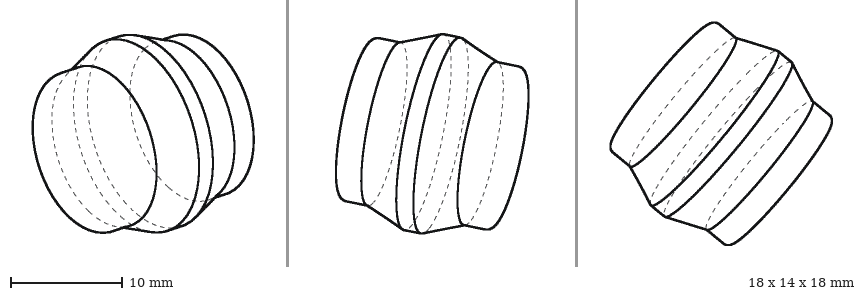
import cadquery as cq

band_diameter = 18.0
end_diameter = 15.0
length = 14.0

band_width = 1.6
end_length = 2.5
edge_radius = 0.5

band_radius = band_diameter / 2
end_radius = end_diameter / 2
half_length = length / 2
half_band = band_width / 2
shoulder = half_length - end_length

profile = (
    cq.Workplane("XY")
    .moveTo(0, -half_length)
    .lineTo(end_radius, -half_length)
    .lineTo(end_radius, -shoulder)
    .lineTo(band_radius, -half_band)
    .lineTo(band_radius, half_band)
    .lineTo(end_radius, shoulder)
    .lineTo(end_radius, half_length)
    .lineTo(0, half_length)
    .close()
)
body = profile.revolve(360, (0, 0, 0), (0, 1, 0))

result = body.faces("<Y or >Y").edges().fillet(edge_radius)